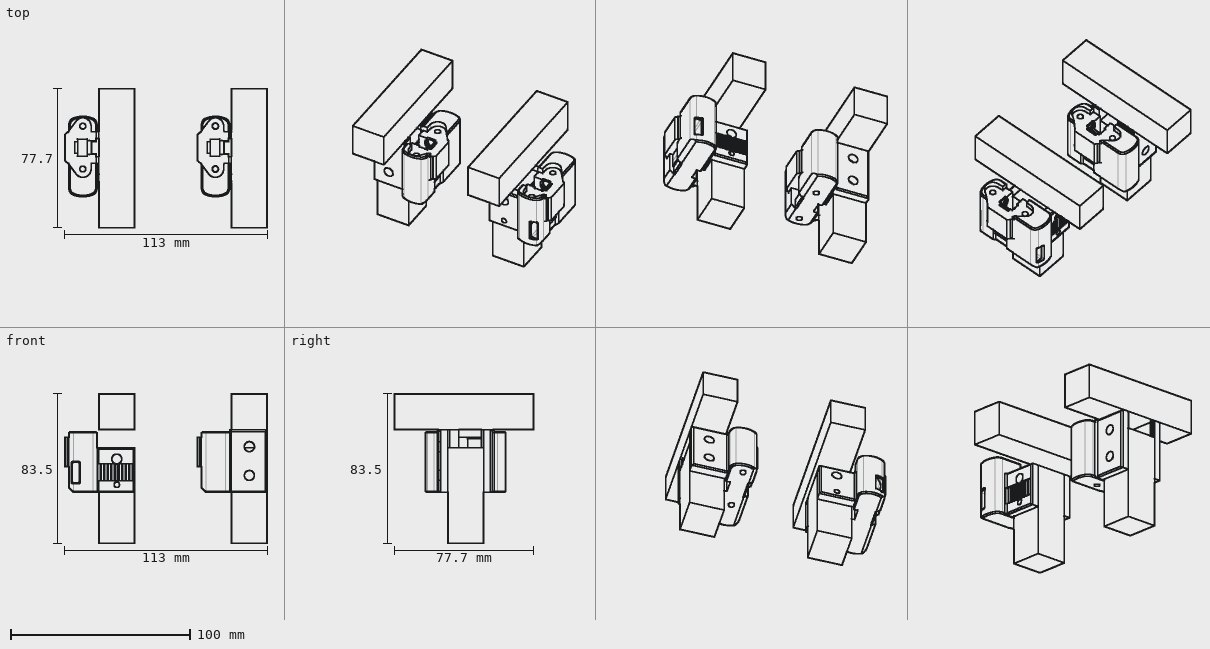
import cadquery as cq
import math

TOTAL_LENGTH = 113
STATION_PITCH = 74.0
BAR = 20.0
RAIL_LENGTH = 77.7
RAIL_SHIFT_Y = -0.9
RAIL_BOTTOM_Z = 35
POST_TOP_Z = 25.0
POST_DROP = 28.5

ARM_THICKNESS = 5.0
ARM_OUTER_Y = BAR / 2 + ARM_THICKNESS
WEB_THICKNESS = 1.0
WEB_FRONT_X = -BAR / 2 - WEB_THICKNESS
LOW_CHAMFER = 0.8
TALL_CHAMFER = 1.1
ARM_HOLE_DIAMETER = 5.5
STOP_LIP_DEPTH = 1.2
STOP_LIP_LENGTH = 1.0

LOW_HOLE_Z = 18.6
SMALL_HOLE_DIAMETER = 3.0
SMALL_HOLE_Z = 4.3
GROOVE_COUNT = 10
GROOVE_PITCH = BAR / GROOVE_COUNT
GROOVE_WIDTH = 1.4
GROOVE_DEPTH = 2.0
GROOVE_BOTTOM_Z = 6.4
GROOVE_HEIGHT = 9.6

TALL_HOLE_Z = (9.5, 25.5)

HOUSING_DEPTH = 15.7
HOUSING_FRONT_X = WEB_FRONT_X - HOUSING_DEPTH
HOUSING_HALF_WIDTH = 22.5
HOUSING_WALL_HALF = 20.1
HOUSING_CORNER_RADIUS = 4.0
HOUSING_TOP_Z = 34.0
HOUSING_CHAMFER = 0.8
FRONT_BEVEL = 2.6

BLOCK_FRONT_X = BAR / 2 + STATION_PITCH - TOTAL_LENGTH
BLOCK_CENTRE_Y = BAR / 4
BLOCK_BOTTOM_Z = 14.4
BLOCK_TOP_Z = 30.8
BLOCK_FACE_HALF = 7.2
BLOCK_BODY_HALF = 8.5
BLOCK_BODY_X = BLOCK_FRONT_X + 1.2
EAR_START_X = BLOCK_FRONT_X + 1.6
EAR_RADIUS = 4.6
EAR_X = -19.0
EAR_OFFSET_Y = 12.0
EAR_HOLE_DIAMETER = 3.3
TAIL_SIDE_X = -14.1
TAIL_HALF = 8.8
TAIL_END_X = -11.5
SLIT_HALF = 3.8

CAVITY_X = -19.2
CAVITY_HALF = 4.7
CAVITY_RADIUS = 3.8
CAVITY_DROP = 3.7
SOCKET_DIAMETER = 5.5
SOCKET_DEPTH = 0.9
FINGER_GROOVE_HALF = 3.3
FINGER_GROOVE_LENGTH = 1.6
FINGER_GROOVE_DEPTH = 0.6
PIN_DIAMETER = 5.2
PIN_DROP = 9.7

CHANNEL_WIDTH = BAR / 2
SILL_X = -24.5
TUNNEL_BACK_X = -20.9
TUNNEL_BOTTOM_Z = 5.3
TUNNEL_ROUND = 0.9
WINDOW_FRONT_X = -24.9
WINDOW_TOP_Z = 16.8
WINDOW_MARGIN = 0.5
WINDOW_MOUTH_Y = 20.8
PASSAGE_X = -14.0
PASSAGE_HALF = 3.4


def box(x0, x1, y0, y1, z0, z1):
    return cq.Workplane("XY").box(x1 - x0, y1 - y0, z1 - z0, centered=False).translate((x0, y0, z0))


def rod_y(x, z, diameter, y0, y1):
    """Cylinder along Y from y0 to y1."""
    return cq.Workplane("XZ", origin=(x, y0, z)).circle(diameter / 2).extrude(y0 - y1)


def rail():
    y0 = RAIL_SHIFT_Y - RAIL_LENGTH / 2
    return box(-BAR / 2, BAR / 2, y0, y0 + RAIL_LENGTH, RAIL_BOTTOM_Z, RAIL_BOTTOM_Z + BAR)


def post():
    return box(-BAR / 2, BAR / 2, -BAR / 2, BAR / 2, -POST_DROP, POST_TOP_Z)


def block_prism(z0, z1):
    """Latch block outline: flat nose, two round ears and a narrower tail."""
    dx = EAR_X - EAR_START_X
    dy = EAR_OFFSET_Y - BLOCK_BODY_HALF
    slant = math.atan2(dy, dx) + math.asin(EAR_RADIUS / math.hypot(dx, dy))
    tangent_x = EAR_X - EAR_RADIUS * math.sin(slant)
    tangent_y = EAR_OFFSET_Y + EAR_RADIUS * math.cos(slant)
    top_angle = math.radians(45)
    arc_mid = (EAR_X + EAR_RADIUS * math.cos(top_angle), EAR_OFFSET_Y + EAR_RADIUS * math.sin(top_angle))
    half = (
        cq.Workplane("XY", origin=(0, BLOCK_CENTRE_Y, z0))
        .moveTo(BLOCK_FRONT_X, 0)
        .lineTo(BLOCK_FRONT_X, BLOCK_FACE_HALF)
        .lineTo(BLOCK_BODY_X, BLOCK_BODY_HALF)
        .lineTo(EAR_START_X, BLOCK_BODY_HALF)
        .lineTo(tangent_x, tangent_y)
        .threePointArc(arc_mid, (EAR_X + EAR_RADIUS, EAR_OFFSET_Y))
        .lineTo(TAIL_SIDE_X, TAIL_HALF)
        .lineTo(TAIL_END_X, TAIL_HALF)
        .lineTo(TAIL_END_X, 0)
        .close()
        .extrude(z1 - z0)
    )
    return half.union(half.mirror("XZ", (0, BLOCK_CENTRE_Y, 0)))


def ear_holes(z0, z1):
    spots = [(EAR_X, BLOCK_CENTRE_Y + side * EAR_OFFSET_Y) for side in (-1, 1)]
    return (
        cq.Workplane("XY", origin=(0, 0, z0))
        .pushPoints(spots)
        .circle(EAR_HOLE_DIAMETER / 2)
        .extrude(z1 - z0)
    )


def pin():
    y0 = BLOCK_CENTRE_Y - CAVITY_HALF
    return rod_y(CAVITY_X, BLOCK_TOP_Z - PIN_DROP, PIN_DIAMETER, y0, y0 + 2 * CAVITY_HALF)


def pivot_cavity(opening_bottom_z):
    """Round cavity along Y, open to the top, with a socket in each end and a finger groove in front."""
    axis_z = BLOCK_TOP_Z - CAVITY_DROP
    y0 = BLOCK_CENTRE_Y - CAVITY_HALF
    y1 = BLOCK_CENTRE_Y + CAVITY_HALF
    round_part = rod_y(CAVITY_X, axis_z, 2 * CAVITY_RADIUS, y0, y1)
    sockets = rod_y(CAVITY_X, axis_z, SOCKET_DIAMETER, y0 - SOCKET_DEPTH, y1 + SOCKET_DEPTH)
    half_opening = PIN_DIAMETER / 2
    opening = box(CAVITY_X - half_opening, CAVITY_X + half_opening, y0, y1, opening_bottom_z, BLOCK_TOP_Z)
    groove = box(
        CAVITY_X - half_opening - FINGER_GROOVE_LENGTH, CAVITY_X,
        BLOCK_CENTRE_Y - FINGER_GROOVE_HALF, BLOCK_CENTRE_Y + FINGER_GROOVE_HALF,
        BLOCK_TOP_Z - FINGER_GROOVE_DEPTH, BLOCK_TOP_Z,
    )
    return round_part.union(sockets).union(opening).union(groove)


def window_cut(margin, y0, y1):
    """Round-cornered opening along Y, widened all round by the margin."""
    opening = box(
        WINDOW_FRONT_X - margin, TUNNEL_BACK_X + margin,
        y0, y1,
        TUNNEL_BOTTOM_Z - margin, WINDOW_TOP_Z + margin,
    )
    return opening.edges("|Y").fillet(TUNNEL_ROUND)


def window_throat():
    return window_cut(0, -HOUSING_HALF_WIDTH, HOUSING_HALF_WIDTH)


def latch_block(with_pin):
    body = block_prism(BLOCK_BOTTOM_Z, BLOCK_TOP_Z).cut(ear_holes(BLOCK_BOTTOM_Z, BLOCK_TOP_Z))
    slit = box(
        CAVITY_X + PIN_DIAMETER / 2, TAIL_END_X,
        BLOCK_CENTRE_Y - SLIT_HALF, BLOCK_CENTRE_Y + SLIT_HALF,
        BLOCK_BOTTOM_Z, BLOCK_TOP_Z,
    )
    body = body.cut(slit)
    if with_pin:
        body = body.cut(pivot_cavity(BLOCK_TOP_Z - PIN_DROP))
        return body.cut(pin()).cut(window_throat())
    return body.cut(pivot_cavity(BLOCK_TOP_Z - CAVITY_DROP))


def housing_shell():
    """Rounded housing with chamfered rims and a beveled lower front edge."""
    front = HOUSING_FRONT_X
    back = WEB_FRONT_X
    middle = (front + back) / 2
    shell = (
        cq.Workplane("XY")
        .moveTo(front, -HOUSING_WALL_HALF)
        .lineTo(front, HOUSING_WALL_HALF)
        .threePointArc((middle, HOUSING_HALF_WIDTH), (back, HOUSING_WALL_HALF))
        .lineTo(back, -HOUSING_WALL_HALF)
        .threePointArc((middle, -HOUSING_HALF_WIDTH), (front, -HOUSING_WALL_HALF))
        .close()
        .extrude(HOUSING_TOP_Z)
        .edges("|Z")
        .fillet(HOUSING_CORNER_RADIUS)
        .faces(">Z")
        .chamfer(HOUSING_CHAMFER)
        .faces("<Z")
        .chamfer(HOUSING_CHAMFER)
    )
    bevel = (
        cq.Workplane("XZ", origin=(0, HOUSING_HALF_WIDTH, 0))
        .moveTo(front, 0)
        .lineTo(front + FRONT_BEVEL, 0)
        .lineTo(front, FRONT_BEVEL)
        .close()
        .extrude(2 * HOUSING_HALF_WIDTH)
    )
    return shell.cut(bevel)


def clamp(height, chamfer):
    """U-shaped clamp around the post, with its web flaring out to the housing."""
    body = box(-BAR / 2, BAR / 2, -ARM_OUTER_Y, ARM_OUTER_Y, 0, height)
    body = body.edges("(>X and |Z) or (>Z and |X)").chamfer(chamfer)
    body = body.edges("<Z and |X").chamfer(LOW_CHAMFER)
    flare_y = ARM_OUTER_Y + WEB_THICKNESS
    web = (
        cq.Workplane("XY")
        .moveTo(WEB_FRONT_X, -flare_y)
        .lineTo(WEB_FRONT_X, flare_y)
        .lineTo(-BAR / 2, ARM_OUTER_Y)
        .lineTo(-BAR / 2, -ARM_OUTER_Y)
        .close()
        .extrude(height)
        .faces(">Z")
        .edges("not |Y")
        .chamfer(0.5 * chamfer)
    )
    return body.union(web).cut(box(-BAR / 2, BAR / 2, -BAR / 2, BAR / 2, 0, height))


def front_groove():
    """Groove in the housing front below the block; its back wall ends in a chamfer at the bottom."""
    return (
        cq.Workplane("XZ", origin=(0, CHANNEL_WIDTH, 0))
        .moveTo(HOUSING_FRONT_X, 0)
        .lineTo(SILL_X + HOUSING_CHAMFER, 0)
        .lineTo(SILL_X, HOUSING_CHAMFER)
        .lineTo(SILL_X, BLOCK_BOTTOM_Z)
        .lineTo(HOUSING_FRONT_X, BLOCK_BOTTOM_Z)
        .close()
        .extrude(CHANNEL_WIDTH)
    )


def bracket(clamp_body):
    """Housing and clamp in one piece, with the pocket for the latch block and the channel under it."""
    body = housing_shell().union(clamp_body)
    body = body.cut(block_prism(BLOCK_BOTTOM_Z, HOUSING_TOP_Z))
    notch_y0 = BLOCK_CENTRE_Y - TAIL_HALF
    body = body.cut(box(TAIL_END_X, WEB_FRONT_X, notch_y0, notch_y0 + 2 * TAIL_HALF, POST_TOP_Z, HOUSING_TOP_Z))
    body = body.cut(box(WEB_FRONT_X, -BAR / 2, notch_y0, CHANNEL_WIDTH, POST_TOP_Z, RAIL_BOTTOM_Z))
    body = body.cut(box(TAIL_END_X, -BAR / 2, 0, CHANNEL_WIDTH, 0, POST_TOP_Z))
    body = body.cut(front_groove())
    tunnel = box(SILL_X, TUNNEL_BACK_X, 0, CHANNEL_WIDTH, TUNNEL_BOTTOM_Z, BLOCK_BOTTOM_Z)
    body = body.cut(tunnel.edges("<Z and |Y").fillet(TUNNEL_ROUND))
    passage = box(
        PASSAGE_X, TAIL_END_X,
        BLOCK_CENTRE_Y - PASSAGE_HALF, BLOCK_CENTRE_Y + PASSAGE_HALF,
        0, BLOCK_BOTTOM_Z,
    )
    return body.cut(passage)


def arm_hole(z, diameter):
    return rod_y(0, z, diameter, -ARM_OUTER_Y, ARM_OUTER_Y)


def grip_grooves():
    """Row of upright grooves across the outer face of the -Y arm."""
    first_x = -BAR / 2
    centres = [first_x + i * GROOVE_PITCH for i in range(GROOVE_COUNT)]
    outer_y = ARM_OUTER_Y + WEB_THICKNESS
    inner_y = ARM_OUTER_Y - GROOVE_DEPTH
    return [
        box(
            x - GROOVE_WIDTH / 2, x + GROOVE_WIDTH / 2,
            -outer_y, -inner_y,
            GROOVE_BOTTOM_Z, GROOVE_BOTTOM_Z + GROOVE_HEIGHT,
        )
        for x in centres
    ]


def stop_lips():
    """Two lips at the far end of the tall arms, standing on the post top."""
    x1 = BAR / 2 - TALL_CHAMFER
    inner_y = BAR / 2 - STOP_LIP_DEPTH
    lip = box(x1 - STOP_LIP_LENGTH, x1, inner_y, BAR / 2, POST_TOP_Z, RAIL_BOTTOM_Z)
    return [lip, lip.mirror("XZ")]


def low_bracket():
    """Bracket level with the post top, with grip grooves and windows through the housing."""
    body = bracket(clamp(POST_TOP_Z, LOW_CHAMFER))
    body = body.cut(arm_hole(LOW_HOLE_Z, ARM_HOLE_DIAMETER))
    body = body.cut(arm_hole(SMALL_HOLE_Z, SMALL_HOLE_DIAMETER))
    for groove in grip_grooves():
        body = body.cut(groove)
    body = body.cut(window_throat())
    body = body.cut(window_cut(WINDOW_MARGIN, WINDOW_MOUTH_Y, HOUSING_HALF_WIDTH))
    return body.cut(window_cut(WINDOW_MARGIN, -HOUSING_HALF_WIDTH, -WINDOW_MOUTH_Y))


def tall_bracket():
    """Bracket reaching up to the rail, with the ear holes running on through the housing."""
    body = bracket(clamp(RAIL_BOTTOM_Z, TALL_CHAMFER)).cut(ear_holes(0, BLOCK_BOTTOM_Z))
    for z in TALL_HOLE_Z:
        body = body.cut(arm_hole(z, ARM_HOLE_DIAMETER))
    for lip in stop_lips():
        body = body.union(lip)
    return body


low_station = [low_bracket(), post(), rail(), latch_block(with_pin=True), pin()]
tall_station = [
    body.translate((STATION_PITCH, 0, 0))
    for body in (tall_bracket(), post(), rail(), latch_block(with_pin=False))
]
result = cq.Compound.makeCompound([body.solids().val() for body in low_station + tall_station])